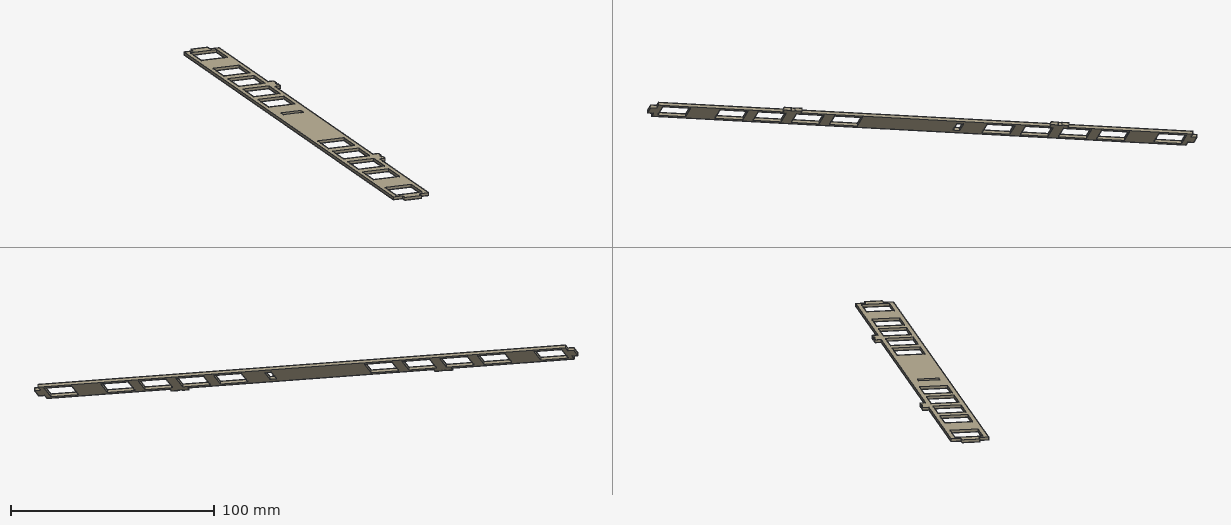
import cadquery as cq

strip_length = 266.7
strip_width = 18.8
thickness = 1.5
pitch = strip_length / 14

window_size = 14.0
window_pitches = (2, 3, 4, 5, 6.5)

slot_width = 3.3
slot_length = 10.5
slot_x = -18.0

tab_length = 9.0
tab_reach = 3.0
tab_corner_radius = 0.5
back_tab_x = 3.5 * pitch
notch_width = 2.0
notch_depth = 0.5

strip_y = -tab_reach / 2
tab_end_y = strip_y + strip_width / 2 + tab_reach


def plate(length, width, x, y):
    """Flat rectangular block of the strip's thickness, centred on (x, y)."""
    return cq.Workplane("XY").box(length, width, thickness).translate((x, y, 0))


def rounded_plate(length, width, x, y):
    """Plate with its four upright corners rounded."""
    return plate(length, width, x, y).edges("|Z").fillet(tab_corner_radius)


result = plate(strip_length, strip_width, 0, strip_y)
result = result.union(rounded_plate(strip_length + 2 * tab_reach, tab_length, 0, strip_y))

for side in (-1, 1):
    tab_x = side * back_tab_x
    result = result.union(rounded_plate(tab_length, 2 * tab_reach, tab_x, tab_end_y - tab_reach))
    result = result.cut(plate(notch_width, 2 * notch_depth, tab_x, tab_end_y))

for side in (-1, 1):
    for count in window_pitches:
        result = result.cut(plate(window_size, window_size, side * count * pitch, strip_y))

result = result.cut(plate(slot_width, slot_length, slot_x, strip_y))